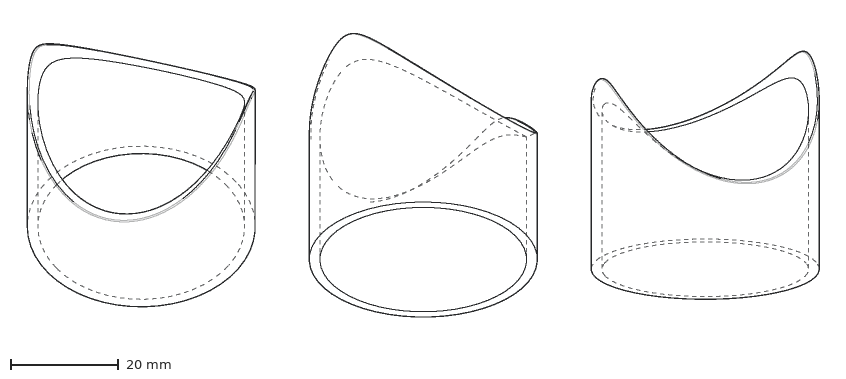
import cadquery as cq
import math

outer_radius = 21.2
wall = 2.0
peak_height = 39.25
header_radius = outer_radius
rim_radius = 0.2
overrun = 4.25

core_radius = outer_radius - rim_radius
core_header_radius = header_radius + rim_radius
header_axis_height = peak_height - rim_radius + math.sqrt(core_header_radius**2 - core_radius**2)


def core():
    """Solid column, one rim radius inside the outer faces, with a sharp saddle."""
    column = (
        cq.Workplane("XY", origin=(0, 0, -overrun))
        .circle(core_radius)
        .extrude(header_axis_height + overrun)
    )
    header = (
        cq.Workplane("XZ", origin=(0, 0, header_axis_height))
        .circle(core_header_radius)
        .extrude(outer_radius + overrun, both=True)
    )
    return column.cut(header)


def rounded_column():
    """Grow the core by the rim radius, rounding the saddle edge, and square off the base."""
    skin = core().shell(rim_radius, kind="arc")
    grown = cq.Workplane(cq.Solid.makeSolid(skin.val().Shells()[0]))
    envelope = cq.Workplane("XY").circle(outer_radius + overrun).extrude(header_axis_height)
    return grown.intersect(envelope)


bore = (
    cq.Workplane("XY", origin=(0, 0, -overrun))
    .circle(outer_radius - wall)
    .extrude(header_axis_height + overrun)
)
result = rounded_column().cut(bore)